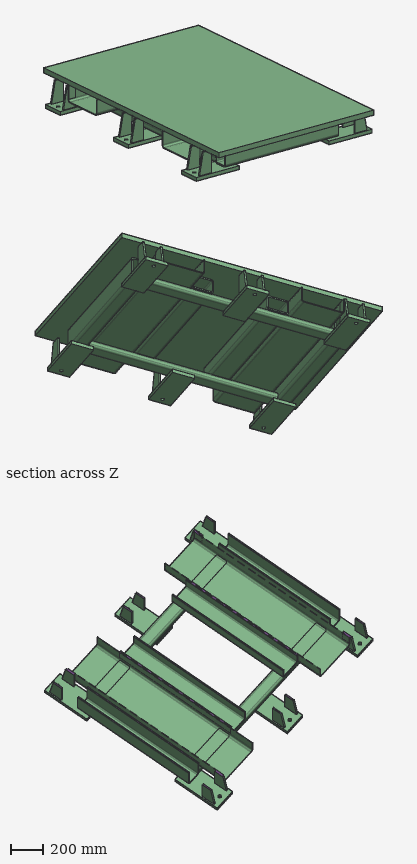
import cadquery as cq

OVERALL_HEIGHT = 210.0
FOOT_THICKNESS = 25.0
DECK_THICKNESS = 35.0
DECK_UNDERSIDE = OVERALL_HEIGHT - DECK_THICKNESS

DECK_LENGTH = 1800.0
DECK_WIDTH = 1199.0

OVERALL_WIDTH = 1360.0
FOOT_WIDTH = 153.0
FOOT_LENGTH = 333.0
FOOT_PITCH = 698.0
FOOT_CENTERS = (-FOOT_PITCH, 0.0, FOOT_PITCH)
FOOT_OUTER_Y = OVERALL_WIDTH / 2
FOOT_INNER_Y = FOOT_OUTER_Y - FOOT_LENGTH
BOLT_HOLE_DIAMETER = 22.0
BOLT_HOLE_EDGE_DISTANCE = 41.0

GUSSET_THICKNESS = 13.0
GUSSET_OFFSET = 61.0
GUSSET_INNER_Y = 555.0
GUSSET_TOP_Y = 620.0
GUSSET_BOTTOM_Y = 648.0

TUBE_WALL = 9.9
TUBE_CORNER_RADIUS = 18.0
TUBE_LENGTH = 875.0
END_TUBE_WIDTH = 103.0
END_TUBE_HEIGHT = DECK_UNDERSIDE - FOOT_THICKNESS
END_TUBE_OUTER_X = FOOT_PITCH + GUSSET_OFFSET - GUSSET_THICKNESS / 2
END_TUBE_CENTER_X = END_TUBE_OUTER_X - END_TUBE_WIDTH / 2
INNER_TUBE_WIDTH = 150.0
INNER_TUBE_HEIGHT = 100.0

BEAM_WIDTH = TUBE_LENGTH / 2 - FOOT_INNER_Y
BEAM_HEIGHT = END_TUBE_HEIGHT - INNER_TUBE_HEIGHT
BEAM_LENGTH = 2 * (END_TUBE_OUTER_X - END_TUBE_WIDTH)
BEAM_CENTER_Y = FOOT_INNER_Y + BEAM_WIDTH / 2
BEAM_CORNER_RADIUS = 15.0

CHANNEL_WALL = 6.3
CHANNEL_BEND_RADIUS = 18.0
CHANNEL_DEPTH = INNER_TUBE_HEIGHT
CHANNEL_HEIGHT = CHANNEL_DEPTH + CHANNEL_WALL
CHANNEL_LENGTH = 1224.0
CHANNEL_OUTER_X = FOOT_PITCH - GUSSET_OFFSET - GUSSET_THICKNESS / 2
CHANNEL_WIDTH = 297.0
CHANNEL_CENTER_X = CHANNEL_OUTER_X - CHANNEL_WIDTH / 2
INNER_TUBE_CENTER_X = CHANNEL_OUTER_X - CHANNEL_WIDTH - INNER_TUBE_WIDTH / 2


def block(x_size, y_size, z_size, x_center, y_center, z_bottom):
    """A box placed by its plan center and its underside."""
    box = cq.Workplane("XY").box(x_size, y_size, z_size, centered=(True, True, False))
    return box.translate((x_center, y_center, z_bottom))


def make_deck():
    """The flat rectangular deck lying on the frame."""
    return block(DECK_LENGTH, DECK_WIDTH, DECK_THICKNESS, 0, 0, DECK_UNDERSIDE)


def rounded_bar(width, height, length, radius):
    """A bar along Y with rounded long edges, centered on the origin."""
    return cq.Workplane("XY").box(width, length, height).edges("|Y").fillet(radius)


def tube(width, height, length, radius):
    """A rectangular tube along Y, centered on the origin."""
    outside = rounded_bar(width, height, length, radius)
    inner_width = width - 2 * TUBE_WALL
    inner_height = height - 2 * TUBE_WALL
    inside = rounded_bar(inner_width, inner_height, length, radius - TUBE_WALL)
    return outside.cut(inside)


def fork_channel():
    """A U section along Y with bent lower corners, its open top at Z = 0."""
    outside = block(CHANNEL_WIDTH, CHANNEL_LENGTH, CHANNEL_HEIGHT, 0, 0, -CHANNEL_HEIGHT)
    outside = outside.edges("|Y and <Z").fillet(CHANNEL_BEND_RADIUS)
    inner_width = CHANNEL_WIDTH - 2 * CHANNEL_WALL
    inside = block(inner_width, CHANNEL_LENGTH, CHANNEL_DEPTH, 0, 0, -CHANNEL_DEPTH)
    inside = inside.edges("|Y and <Z").fillet(CHANNEL_BEND_RADIUS - CHANNEL_WALL)
    return outside.cut(inside)


def gusset():
    """A tapered upright for the +Y side, centered on X = 0."""
    outline = [
        (GUSSET_INNER_Y, FOOT_THICKNESS),
        (GUSSET_BOTTOM_Y, FOOT_THICKNESS),
        (GUSSET_TOP_Y, DECK_UNDERSIDE),
        (GUSSET_INNER_Y, DECK_UNDERSIDE),
    ]
    return cq.Workplane("YZ").polyline(outline).close().extrude(GUSSET_THICKNESS / 2, both=True)


def foot():
    """A drilled foot plate with its two gussets, for the +Y side, centered on X = 0."""
    plate = block(FOOT_WIDTH, FOOT_LENGTH, FOOT_THICKNESS, 0, FOOT_OUTER_Y - FOOT_LENGTH / 2, 0)
    bolt_hole = (
        cq.Workplane("XY")
        .center(0, FOOT_OUTER_Y - BOLT_HOLE_EDGE_DISTANCE)
        .circle(BOLT_HOLE_DIAMETER / 2)
        .extrude(FOOT_THICKNESS)
    )
    drilled_foot = plate.cut(bolt_hole)
    for x in (-GUSSET_OFFSET, GUSSET_OFFSET):
        drilled_foot = drilled_foot.union(gusset().translate((x, 0, 0)))
    return drilled_foot


def make_frame():
    """The welded frame: tubes, beams, fork channels and feet joined into one solid."""
    end_tube = tube(END_TUBE_WIDTH, END_TUBE_HEIGHT, TUBE_LENGTH, TUBE_CORNER_RADIUS)
    inner_tube = tube(INNER_TUBE_WIDTH, INNER_TUBE_HEIGHT, TUBE_LENGTH, TUBE_CORNER_RADIUS)
    beam = tube(BEAM_WIDTH, BEAM_HEIGHT, BEAM_LENGTH, BEAM_CORNER_RADIUS).rotate((0, 0, 0), (0, 0, 1), 90)
    channel = fork_channel()
    end_tube_z = DECK_UNDERSIDE - END_TUBE_HEIGHT / 2
    inner_tube_z = DECK_UNDERSIDE - INNER_TUBE_HEIGHT / 2
    beam_z = FOOT_THICKNESS + BEAM_HEIGHT / 2
    parts = []
    for side in (-1, 1):
        parts += [
            end_tube.translate((side * END_TUBE_CENTER_X, 0, end_tube_z)),
            inner_tube.translate((side * INNER_TUBE_CENTER_X, 0, inner_tube_z)),
            channel.translate((side * CHANNEL_CENTER_X, 0, DECK_UNDERSIDE)),
            beam.translate((0, side * BEAM_CENTER_Y, beam_z)),
        ]
    for x in FOOT_CENTERS:
        placed_foot = foot().translate((x, 0, 0))
        parts += [placed_foot, placed_foot.mirror("XZ")]
    frame = parts[0]
    for part in parts[1:]:
        frame = frame.union(part)
    return frame


deck = make_deck()
frame = make_frame()
result = cq.Compound.makeCompound([deck.val(), frame.solids().val()])